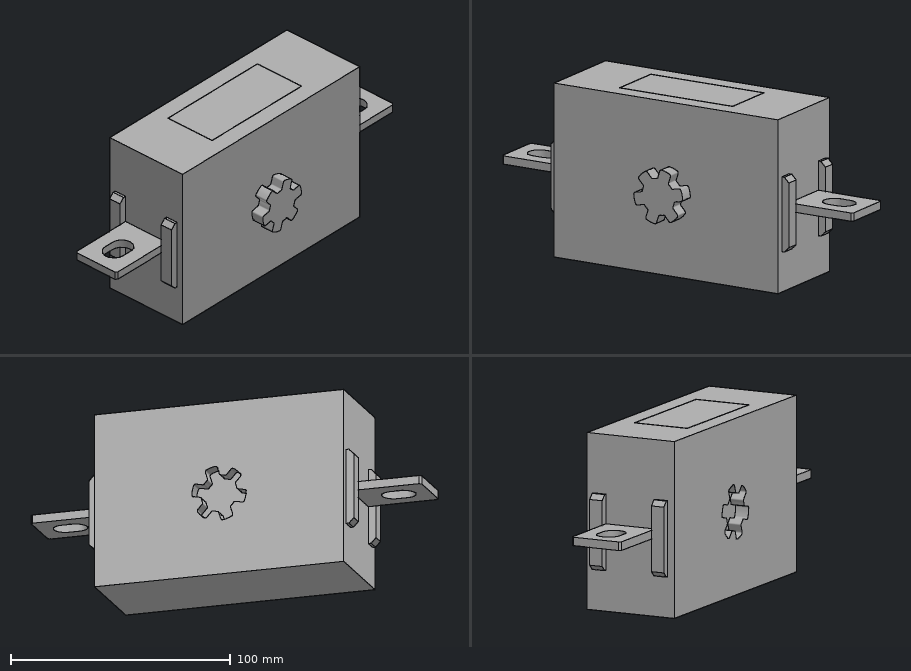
import cadquery as cq
import math

body_width = 45.0
body_length = 120.0
body_height = 82.4

overall_length = 188.0
blade_width = 25.4
blade_thickness = 4.0
blade_z = -2.4
blade_corner = 1.0
slot_width = 11.0
slot_length = 16.0
slot_center_from_tip = 15.0

rail_width = 6.4
rail_height = 35.4
rail_depth = 3.75
rail_chamfer = 2.4
rail_z = -4.3

tooth_count = 6
tooth_tip_radius = 13.1
tooth_root_radius = 8.7
tooth_width = 6.0
first_tooth_angle = 12.0
tooth_tip_fillet = 1.0
tooth_root_fillet = 0.8
coupling_z = blade_z
spline_length = 6.75
socket_depth = spline_length

label_width = 27.2
label_length = 60.5
label_depth = 0.1


def make_body():
    """Housing block with the label recess sunk into its top."""
    block = cq.Workplane("XY").box(body_width, body_length, body_height)
    return block.faces(">Z").workplane().rect(label_width, label_length).cutBlind(-label_depth)


def make_blades():
    """One long bar through the housing, with a mounting slot near each tip."""
    slot_y = overall_length / 2 - slot_center_from_tip
    bar = (
        cq.Workplane("XY")
        .box(blade_width, overall_length, blade_thickness)
        .edges("|Z")
        .chamfer(blade_corner)
    )
    slots = (
        cq.Workplane("XY")
        .pushPoints([(0, slot_y), (0, -slot_y)])
        .slot2D(slot_length, slot_width, 90)
        .extrude(blade_thickness, both=True)
    )
    return bar.cut(slots).translate((0, 0, blade_z))


def make_rails(side):
    """A rail on the given side (+1 or -1) that stands out of both ends of the housing."""
    rail_x = side * (blade_width + rail_width) / 2
    return (
        cq.Workplane("XY")
        .box(rail_width, body_length + 2 * rail_depth, rail_height)
        .edges("|X")
        .chamfer(rail_chamfer)
        .translate((rail_x, 0, rail_z))
    )


def fillet_corners(prism, radius, at_tips):
    """Round the lengthwise edges at the tooth tips, or else those at the tooth roots."""
    middle_radius = (tooth_root_radius + tooth_tip_radius) / 2
    corners = [
        edge for edge in prism.edges("|X").vals()
        if (math.hypot(edge.Center().y, edge.Center().z) > middle_radius) == at_tips
    ]
    return prism.newObject(corners).fillet(radius)


def make_coupling(start_x, length):
    """Toothed prism along +X with parallel-sided teeth, rounded at tip and root."""
    plane = cq.Workplane("YZ")
    prism = plane.circle(tooth_root_radius).extrude(length)
    tooth_disc = plane.circle(tooth_tip_radius).extrude(length)
    for index in range(tooth_count // 2):
        angle = first_tooth_angle + index * 360 / tooth_count
        tooth_pair = plane.rect(2 * tooth_tip_radius, tooth_width).extrude(length)
        tooth_pair = tooth_pair.intersect(tooth_disc)
        prism = prism.union(tooth_pair.rotate((0, 0, 0), (1, 0, 0), angle))

    prism = fillet_corners(prism, tooth_root_fillet, at_tips=False)
    prism = fillet_corners(prism, tooth_tip_fillet, at_tips=True)
    return prism.translate((start_x, 0, coupling_z))


result = make_body().union(make_blades())
for side in (-1, 1):
    result = result.union(make_rails(side))
result = result.union(make_coupling(body_width / 2, spline_length))
result = result.cut(make_coupling(-body_width / 2, socket_depth))